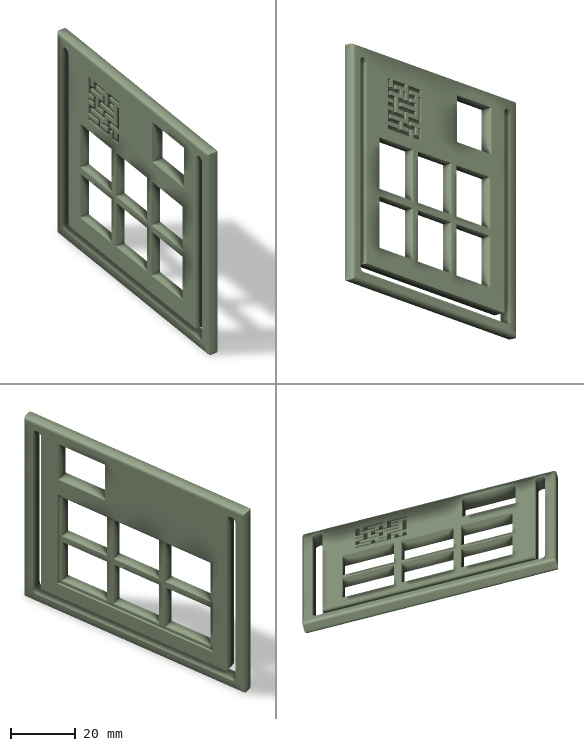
import cadquery as cq

plate_width = 81.4
plate_height = 76.25
plate_thickness = 4.0
edge_radius = 1.0
front_y = -plate_thickness / 2

slot_width = 3.1
slot_end_radius = slot_width / 2
slot_outer_half_width = 37.3
slot_inner_half_width = slot_outer_half_width - slot_width
slot_top_z = 34.7
slot_bottom_z = -34.75
tongue_bottom_z = slot_bottom_z + slot_width

key_columns = 3
key_rows = 2
key_size = 16.6
key_pitch = 19.05
key_grid_center_x = -0.4
key_grid_center_z = -7.25

recess_depth = 0.7
recess_width = key_columns * key_pitch
recess_height = key_rows * key_pitch

display_width = 17.1
display_height = 15.1
display_center_x = 19.2
display_center_z = 25.7

maze_pattern = [
    "# ##### #####",
    "# #     #    ",
    "##### # ### #",
    "#     # #   #",
    "### ####### #",
    "  # #       #",
    "### ####### #",
    "  #   #     #",
    "####### #####",
    "#       #    ",
    "##### ##### #",
    "    #   # # #",
    "######### ###",
]
maze_size = 16.35
maze_depth = 1.0
maze_left_x = -23.5
maze_top_z = 30.8
cell_size = maze_size / len(maze_pattern)


def box_between(left, right, bottom, top, depth=plate_thickness):
    """Box over an XZ rectangle, reaching from the front face to the given depth."""
    size = (right - left, depth, top - bottom)
    return cq.Workplane("XY").box(*size, centered=False).translate((left, front_y, bottom))


def make_plate():
    """Plate with rounded edges around the front and back faces."""
    plate = cq.Workplane("XY").box(plate_width, plate_thickness, plate_height)
    return plate.faces("<Y or >Y").edges().fillet(edge_radius)


def make_slot():
    """U slot with round upper ends, round outer corners and square inner corners."""
    end_center_z = slot_top_z - slot_end_radius
    outer = box_between(-slot_outer_half_width, slot_outer_half_width, slot_bottom_z, end_center_z)
    outer = outer.edges("|Y").edges("<Z").fillet(slot_end_radius)
    inner = box_between(-slot_inner_half_width, slot_inner_half_width, tongue_bottom_z, end_center_z)
    end_center_x = slot_outer_half_width - slot_end_radius
    ends = (
        cq.Workplane("XZ", origin=(0, front_y, 0))
        .pushPoints([(-end_center_x, end_center_z), (end_center_x, end_center_z)])
        .circle(slot_end_radius)
        .extrude(-plate_thickness)
    )
    return outer.cut(inner).union(ends)


def make_window(center_x, center_z, width, height):
    """Rectangular opening through the plate."""
    return box_between(
        center_x - width / 2, center_x + width / 2, center_z - height / 2, center_z + height / 2
    )


def make_key_windows():
    """Evenly spaced grid of square openings."""
    windows = cq.Workplane("XY")
    for column in range(key_columns):
        for row in range(key_rows):
            x = key_grid_center_x + (column - (key_columns - 1) / 2) * key_pitch
            z = key_grid_center_z + (row - (key_rows - 1) / 2) * key_pitch
            windows = windows.add(make_window(x, z, key_size, key_size))
    return windows.combine()


def make_back_recess():
    """Rectangular recess that thins the plate from behind around the key windows."""
    recess = cq.Workplane("XY").box(recess_width, recess_depth, recess_height)
    center_y = (plate_thickness - recess_depth) / 2
    return recess.translate((key_grid_center_x, center_y, key_grid_center_z))


def make_maze():
    """Sunken cells joined into connected grooves."""
    grooves = cq.Workplane("XY")
    for row, line in enumerate(maze_pattern):
        top = maze_top_z - row * cell_size
        for column, mark in enumerate(line):
            if mark == "#":
                left = maze_left_x + column * cell_size
                cell = box_between(left, left + cell_size, top - cell_size, top, maze_depth)
                grooves = grooves.add(cell)
    return grooves.combine(clean=True)


result = make_plate().cut(make_slot()).cut(make_key_windows())
result = result.cut(make_window(display_center_x, display_center_z, display_width, display_height))
result = result.cut(make_back_recess()).cut(make_maze())